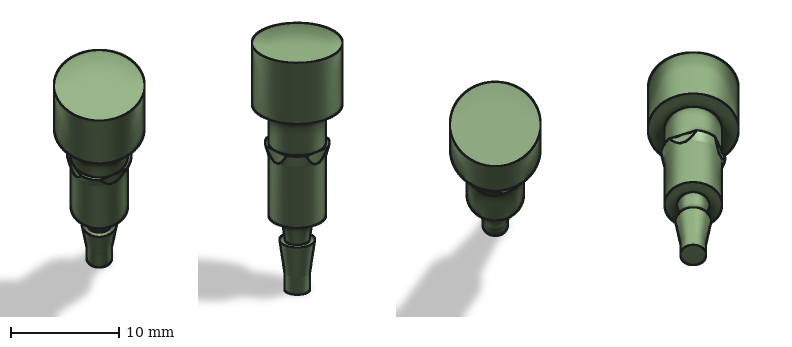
import cadquery as cq

head_radius = 4.204
shaft_radius = 2.67
collar_radius = 3.0
neck_top_radius = 1.5
neck_bottom_radius = 1.15
barb_radius = 1.65
tip_radius = 1.2

barb_bottom = 1.78
barb_top = 5.1
shaft_bottom = 7.62
collar_bottom = 13.9
collar_top = 15.11
head_bottom = 19.1
total_height = 25.4


def turned_body():
    """Revolve the half-profile of every round section about Z."""
    profile = [
        (0, 0),
        (tip_radius, 0),
        (tip_radius, barb_bottom),
        (barb_radius, barb_top),
        (neck_bottom_radius, barb_top),
        (neck_top_radius, shaft_bottom),
        (shaft_radius, shaft_bottom),
        (shaft_radius, collar_bottom),
        (collar_radius, collar_top),
        (shaft_radius, collar_top),
        (shaft_radius, head_bottom),
        (head_radius, head_bottom),
        (head_radius, total_height),
        (0, total_height),
    ]
    return cq.Workplane("XZ").polyline(profile).close().revolve(360, (0, 0, 0), (0, 1, 0))


def collar_trim():
    """Square ring that cuts four flats on the collar, tangent to the shaft."""
    height = collar_top - collar_bottom
    outer_side = 2 * head_radius
    flat_spacing = 2 * shaft_radius
    return (
        cq.Workplane("XY")
        .workplane(offset=collar_bottom)
        .rect(outer_side, outer_side)
        .rect(flat_spacing, flat_spacing)
        .extrude(height)
    )


result = turned_body().cut(collar_trim())